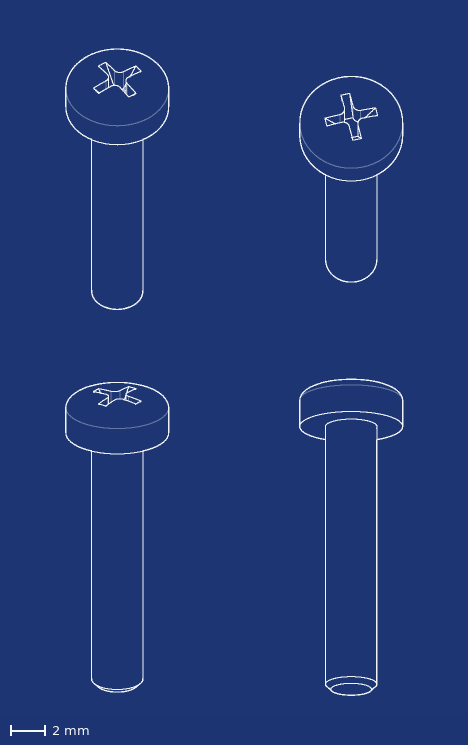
import cadquery as cq

total_length = 18.39
shank_diameter = 3.0
head_diameter = 2 * shank_diameter
head_height = 2.4
tip_chamfer = 0.31

dome_height = 0.79
crown_handle_radius = 2.3
rim_handle_radius = 2.95
rim_handle_drop = 0.37

arm_width = 0.51
inner_corner_radius = 0.37
recess_top_span = 3.13
recess_floor_span = arm_width + 2 * inner_corner_radius
recess_depth = 1.47

shank_radius = shank_diameter / 2
head_radius = head_diameter / 2
head_base = total_length - head_height
dome_base = total_length - dome_height
recess_floor = total_length - recess_depth


def make_screw_body():
    """Revolve the half profile of shank and head about the Z axis."""
    dome_control_points = [
        (0, total_length),
        (crown_handle_radius, total_length),
        (rim_handle_radius, total_length - rim_handle_drop),
        (head_radius, dome_base),
    ]
    return (
        cq.Workplane("XZ")
        .moveTo(0, total_length)
        .bezier(dome_control_points)
        .lineTo(head_radius, head_base)
        .lineTo(shank_radius, head_base)
        .lineTo(shank_radius, tip_chamfer)
        .lineTo(shank_radius - tip_chamfer, 0)
        .lineTo(0, 0)
        .close()
        .revolve(360, (0, 0, 0), (0, 1, 0))
    )


def make_recess_arm():
    """Slot along X whose end walls slope in towards the floor."""
    return (
        cq.Workplane("XZ")
        .polyline([
            (-recess_top_span / 2, total_length),
            (recess_top_span / 2, total_length),
            (recess_floor_span / 2, recess_floor),
            (-recess_floor_span / 2, recess_floor),
        ])
        .close()
        .extrude(arm_width / 2, both=True)
    )


def make_recess_core():
    """Square core with rounded-out corners that blend neighbouring arms together."""
    floor_plane = cq.Workplane("XY", origin=(0, 0, recess_floor))
    square = floor_plane.rect(recess_floor_span, recess_floor_span).extrude(recess_depth)
    corner_rounds = (
        floor_plane.rect(recess_floor_span, recess_floor_span, forConstruction=True)
        .vertices()
        .circle(inner_corner_radius)
        .extrude(recess_depth)
    )
    return square.cut(corner_rounds)


def make_cross_recess():
    """Two crossing arms joined by the core."""
    arm = make_recess_arm()
    crossing_arm = arm.rotate((0, 0, 0), (0, 0, 1), 90)
    return arm.union(crossing_arm).union(make_recess_core())


result = make_screw_body().cut(make_cross_recess())